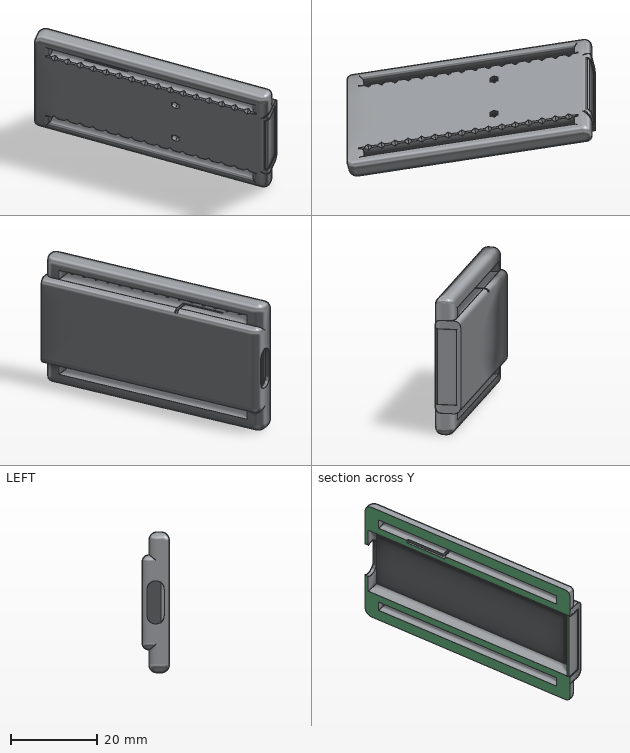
import cadquery as cq
import math

length = 57.8
frame_height = 32.8
frame_depth = 4.8
case_depth = 6.36
case_height = 22.1
x_min = -length / 2
x_max = length / 2
end_step = 0.08
case_edge_z = case_height / 2

frame_radius = 2.0
frame_corner_radius = 1.3
case_radius = 1.6
front_left_radius = 0.85

slot_length = 50.0
slot_width = 2.35
slot_lip_radius = 1.0
slot_edge_chamfer = 0.28

notch_count = 16
notch_span = 47.6
notch_pitch = notch_span / (notch_count - 1)
notch_half_width = 1.1
notch_depth = 1.0

cavity_front_y = 1.95
cavity_back_y = 5.36
end_wall = 1.0
opening_height = 18.0
opening_front_y = 0.3
opening_length = 1.0
cover_recess = 0.25
cover_front_gap = 0.45

port_height = 10.0
port_depth = 4.0
port_back_y = 5.2
port_corner_radius = 1.95

hole_corner_diameter = 2.2
hole_x = 6.1
hole_spacing = 12.0

groove_depth = 0.7
groove_width = 0.5
groove_leg_width = 0.7
groove_start_x = -16.95
groove_end_x = -6.45
groove_front_y = 1.9


def box(x0, x1, y0, y1, z0, z1):
    """Rectangular block between two opposite corners."""
    return cq.Workplane("XY").box(x1 - x0, y1 - y0, z1 - z0, centered=False).translate((x0, y0, z0))


def make_frame():
    """Outer frame block, well rounded except for a smaller radius on the front -X edge."""
    half = frame_height / 2
    block = box(x_min, x_max - end_step, 0, frame_depth, -half, half)
    block = block.edges("<X and <Y").fillet(front_left_radius)
    block = block.edges("|X or (>X and |Z) or (<X and >Y)").fillet(frame_radius)
    return block.edges("|Y").fillet(frame_corner_radius)


def make_case_block():
    """Deeper central block; its +X end is rounded at the front only."""
    block = box(x_min, x_max, 0, case_depth, -case_edge_z, case_edge_z)
    block = block.edges("<X and <Y").fillet(front_left_radius)
    return block.edges("|X or (<X and >Y) or (<X and |Y) or (>X and <Y)").fillet(case_radius)


def make_strap_slot():
    """Cutter for the upper strap slot, flared by a round lip at the front on three sides."""
    half = slot_length / 2
    lip = slot_lip_radius
    top = case_edge_z + slot_width
    slot = box(-half, half, 0, frame_depth, case_edge_z, top)
    flare = box(-half - lip, half + lip, 0, lip, case_edge_z, top + lip)
    beam_lip = cq.Workplane("YZ").center(lip, top + lip).circle(lip).extrude(length, both=True)
    flare = flare.cut(beam_lip)
    for side in (-1, 1):
        end_lip = (
            cq.Workplane("XY")
            .center(side * (half + lip), lip)
            .circle(lip)
            .extrude(frame_height, both=True)
        )
        flare = flare.cut(end_lip)
    edge_chamfer = (
        cq.Workplane("YZ")
        .moveTo(0, case_edge_z - slot_edge_chamfer)
        .lineTo(slot_edge_chamfer, case_edge_z)
        .lineTo(0, case_edge_z)
        .close()
        .extrude(half + lip, both=True)
    )
    return slot.union(flare).union(edge_chamfer)


def make_notch(x):
    """V-shaped prism cutter that slopes at 45 degrees across the front edge of the upper slot."""
    slope = cq.Plane(origin=(x, 0, case_edge_z - notch_depth), xDir=(1, 0, 0), normal=(0, 1, 1))
    vee_depth = notch_depth * math.sin(math.pi / 4)
    return (
        cq.Workplane(slope)
        .lineTo(notch_half_width, -vee_depth)
        .lineTo(-notch_half_width, -vee_depth)
        .close()
        .extrude(2 * notch_depth, both=True)
    )


def make_groove():
    """Cutter for the groove that runs along the case side and then turns to the back."""
    floor_z = case_edge_z - groove_depth
    groove_back_y = groove_front_y + groove_width
    leg_start_x = groove_end_x - groove_leg_width
    along = box(groove_start_x, groove_end_x, groove_front_y, groove_back_y, floor_z, case_edge_z)
    to_back = box(leg_start_x, groove_end_x, groove_front_y, case_depth, floor_z, case_edge_z)
    return along.union(to_back)


def make_cover_opening():
    """Cutter for the opening through the +X end wall; it breaks out through the rounded front edge."""
    half = opening_height / 2
    return box(x_max - opening_length, x_max, opening_front_y, cavity_back_y, -half, half)


def make_cavity():
    """Interior space between the -X end wall and the end opening."""
    half = opening_height / 2
    return box(x_min + end_wall, x_max - opening_length, cavity_front_y, cavity_back_y, -half, half)


def make_port():
    """Cutter for the rounded connector port through the -X end wall."""
    half = port_height / 2
    port_front_y = port_back_y - port_depth
    port = box(x_min, x_min + end_wall, port_front_y, port_back_y, -half, half)
    return port.edges("|X").fillet(port_corner_radius)


def make_front_holes():
    """Cutters for the two hexagonal holes from the front face into the cavity."""
    front = cq.Plane(origin=(hole_x, 0, 0), xDir=(0, 0, 1), normal=(0, 1, 0))
    return (
        cq.Workplane(front)
        .rarray(hole_spacing, 1, 2, 1)
        .polygon(6, hole_corner_diameter)
        .extrude(cavity_front_y)
    )


def make_housing():
    """Frame and case in one piece, with strap slots, notches, cavity and openings."""
    body = make_frame().union(make_case_block())
    slot_cutters = make_strap_slot()
    for index in range(notch_count):
        slot_cutters = slot_cutters.union(make_notch(index * notch_pitch - notch_span / 2))
    body = body.cut(slot_cutters).cut(slot_cutters.mirror("XY"))
    body = body.cut(make_cavity()).cut(make_cover_opening())
    return body.cut(make_port()).cut(make_front_holes()).cut(make_groove())


def make_end_cover():
    """Plug in the end opening, set below the +X end with a narrow gap along its front."""
    half = opening_height / 2
    front_y = opening_front_y + cover_front_gap
    return box(x_max - opening_length, x_max - cover_recess, front_y, cavity_back_y, -half, half)


housing = make_housing()
end_cover = make_end_cover()

result = cq.Compound.makeCompound([housing.val(), end_cover.val()])